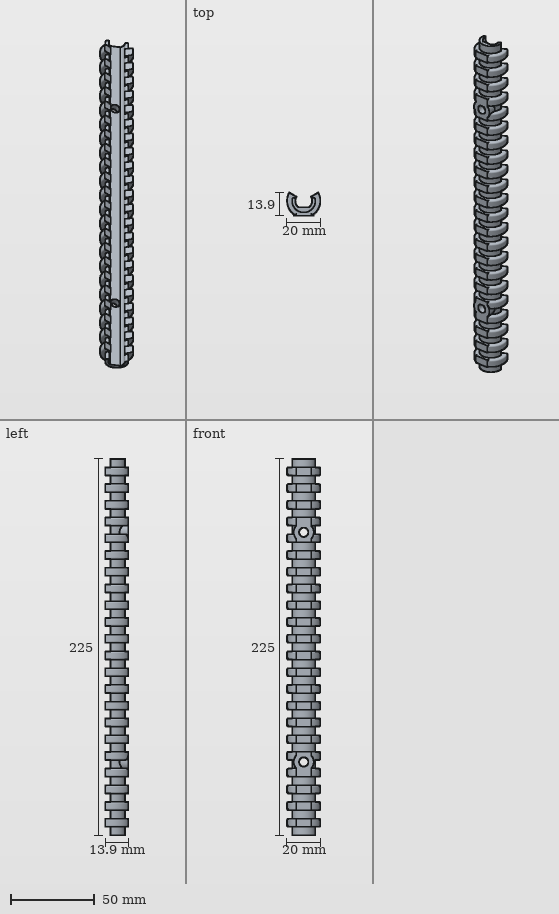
import cadquery as cq
import math

LENGTH = 225.0
RING_COUNT = 22
RING_DIAMETER = 20.0
RING_THICKNESS = 5.0
RING_EDGE_FILLET = 1.0
TUBE_DIAMETER = 14.0
BORE_DIAMETER = 10.0
BORE_FLOOR_DEPTH = 3.8
FLAT_WIDTH = 9.0
LIP_ANGLE = 30.0
TUBE_LIP_HEIGHT = 1.8
PAD_DIAMETER = 12.0
SCREW_HOLE_DIAMETER = 5.5
SCREW_HOLE_INSET = 43.9

END_PITCHES = 0.75
RING_PITCH = LENGTH / (RING_COUNT - 1 + 2 * END_PITCHES)
RING_RADIUS = RING_DIAMETER / 2
FLAT_DEPTH = math.sqrt(RING_RADIUS**2 - (FLAT_WIDTH / 2) ** 2)
BOTTOM = -LENGTH / 2
HOLE_HEIGHTS = [BOTTOM + SCREW_HOLE_INSET, -BOTTOM - SCREW_HOLE_INSET]


def cylinder(diameter, height):
    """Cylinder around the bore axis, centred on Z = 0."""
    return cq.Workplane("XY").circle(diameter / 2).extrude(height / 2, both=True)


def box_above(y, height):
    """Oversized box on the +Y side of the plane at the given Y, centred on Z = 0."""
    box = cq.Workplane("XY").box(2 * RING_DIAMETER, RING_DIAMETER, height)
    return box.translate((0, y + RING_DIAMETER / 2, 0))


def opening_wedge(angle, height):
    """Oversized wedge open toward +Y, its sides rising from the bore axis at the given angle."""
    reach = 2 * RING_DIAMETER
    side_x = reach * math.cos(angle)
    side_y = reach * math.sin(angle)
    outline = [(0, 0), (side_x, side_y), (0, reach), (-side_x, side_y)]
    return cq.Workplane("XY").polyline(outline).close().extrude(height / 2, both=True)


def make_ring():
    """Rounded open ring centred on Z = 0, with a square-edged foot carrying the mounting flat."""
    ring = cylinder(RING_DIAMETER, RING_THICKNESS).edges("%CIRCLE").fillet(RING_EDGE_FILLET)
    ring = ring.intersect(box_above(-FLAT_DEPTH, RING_THICKNESS))
    ring = ring.cut(opening_wedge(math.radians(LIP_ANGLE), RING_THICKNESS))
    foot = cq.Workplane("XY").box(FLAT_WIDTH, FLAT_DEPTH, RING_THICKNESS)
    return ring.union(foot.translate((0, -FLAT_DEPTH / 2, 0)))


def make_tube():
    """Full-length open tube with a rounded bead along each lip; the bore is cleared later."""
    bead_radius = (TUBE_DIAMETER - BORE_DIAMETER) / 4
    wall_radius = (TUBE_DIAMETER + BORE_DIAMETER) / 4
    bead_y = TUBE_LIP_HEIGHT - bead_radius
    bead_angle = math.asin(bead_y / wall_radius)
    bead_x = wall_radius * math.cos(bead_angle)
    beads = (
        cq.Workplane("XY")
        .pushPoints([(-bead_x, bead_y), (bead_x, bead_y)])
        .circle(bead_radius)
        .extrude(LENGTH / 2, both=True)
    )
    return cylinder(TUBE_DIAMETER, LENGTH).cut(opening_wedge(bead_angle, LENGTH)).union(beads)


def make_bore():
    """Round channel with a flat floor."""
    return cylinder(BORE_DIAMETER, LENGTH).intersect(box_above(-BORE_FLOOR_DEPTH, LENGTH))


def back_cylinder(diameter, z):
    """Cylinder along Y from the bore axis to the mounting flat."""
    return cq.Workplane("XZ").center(0, z).circle(diameter / 2).extrude(FLAT_DEPTH)


body = make_tube()

ring = make_ring()
for index in range(RING_COUNT):
    ring_height = BOTTOM + (END_PITCHES + index) * RING_PITCH
    body = body.union(ring.translate((0, 0, ring_height)))

for hole_height in HOLE_HEIGHTS:
    body = body.union(back_cylinder(PAD_DIAMETER, hole_height))

body = body.cut(make_bore())

for hole_height in HOLE_HEIGHTS:
    body = body.cut(back_cylinder(SCREW_HOLE_DIAMETER, hole_height))

result = body